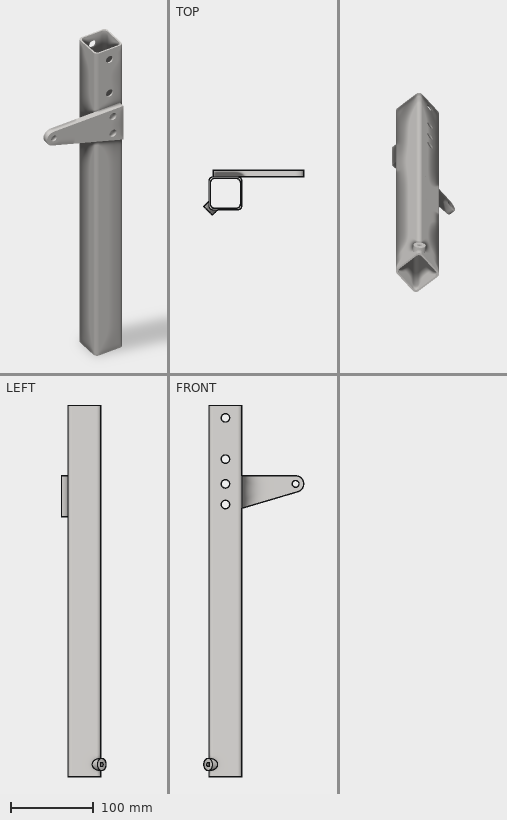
import cadquery as cq
import math

TUBE_SIDE = 40.0
TUBE_WALL = 2.0
TUBE_CORNER_RADIUS = 5.0
TUBE_LENGTH = 450.0

PIN_HOLE_DIAMETER = 10.0
PIN_HOLE_DEPTHS = (15.0, 65.0, 95.0, 120.0)

ARM_THICKNESS = 8.0
ARM_ROOT_HEIGHT = 50.0
ARM_TIP_RADIUS = 10.0
ARM_HOLE_DIAMETER = 8.0
ARM_ROOT_INSET = 5.0
ARM_REACH = 100.0
ARM_HOLE_DEPTH = 95.0

BOSS_DIAMETER = 15.0
BOSS_HOLE_DIAMETER = 5.0
BOSS_HEIGHT = 15.0
BOSS_OVERHANG = 6.34

HALF_SIDE = TUBE_SIDE / 2
BORE_SIDE = TUBE_SIDE - 2 * TUBE_WALL
BOSS_FACE_DISTANCE = (HALF_SIDE + BOSS_OVERHANG) * math.sqrt(2) - BOSS_DIAMETER / 2


def rounded_bar(side, corner_radius):
    """Square bar with rounded long edges, as long as the tube."""
    bar = cq.Workplane("XY").rect(side, side).extrude(TUBE_LENGTH)
    return bar.edges("|Z").fillet(corner_radius)


def make_arm():
    """Plate whose lower edge runs from the root corner tangent to the round tip."""
    root_x = ARM_ROOT_INSET - HALF_SIDE
    tip_x = root_x + ARM_REACH
    tip_z = TUBE_LENGTH - ARM_HOLE_DEPTH
    top_z = tip_z + ARM_TIP_RADIUS
    root_bottom_z = top_z - ARM_ROOT_HEIGHT

    rise = tip_z - root_bottom_z
    centre_distance = math.hypot(ARM_REACH, rise)
    slope = math.atan2(rise, ARM_REACH) - math.asin(ARM_TIP_RADIUS / centre_distance)
    tangent_x = tip_x + ARM_TIP_RADIUS * math.sin(slope)
    tangent_z = tip_z - ARM_TIP_RADIUS * math.cos(slope)

    back_face = cq.Workplane("XZ", origin=(0, HALF_SIDE, 0))
    plate = (
        back_face.moveTo(root_x, root_bottom_z)
        .lineTo(tangent_x, tangent_z)
        .threePointArc((tip_x + ARM_TIP_RADIUS, tip_z), (tip_x, top_z))
        .lineTo(root_x, top_z)
        .close()
        .extrude(-ARM_THICKNESS)
    )
    tip_hole = back_face.center(tip_x, tip_z).circle(ARM_HOLE_DIAMETER / 2).extrude(-ARM_THICKNESS)
    return plate.cut(tip_hole)


def boss_cylinder(diameter):
    """Cylinder from the tube axis out to the boss face, along the corner diagonal."""
    diagonal = cq.Plane(origin=(0, 0, BOSS_HEIGHT), xDir=(0, 0, 1), normal=(-1, -1, 0))
    return cq.Workplane(diagonal).circle(diameter / 2).extrude(BOSS_FACE_DISTANCE)


def make_pin_holes():
    """Cutters long enough to pass through both tube walls and the arm."""
    cut_length = TUBE_SIDE + ARM_THICKNESS
    front_face = cq.Workplane("XZ", origin=(0, -HALF_SIDE, 0))
    centres = [(0, TUBE_LENGTH - depth) for depth in PIN_HOLE_DEPTHS]
    return front_face.pushPoints(centres).circle(PIN_HOLE_DIAMETER / 2).extrude(-cut_length)


body = rounded_bar(TUBE_SIDE, TUBE_CORNER_RADIUS)
body = body.union(boss_cylinder(BOSS_DIAMETER))
body = body.union(make_arm())
body = body.cut(rounded_bar(BORE_SIDE, TUBE_CORNER_RADIUS))
body = body.cut(boss_cylinder(BOSS_HOLE_DIAMETER))
result = body.cut(make_pin_holes())